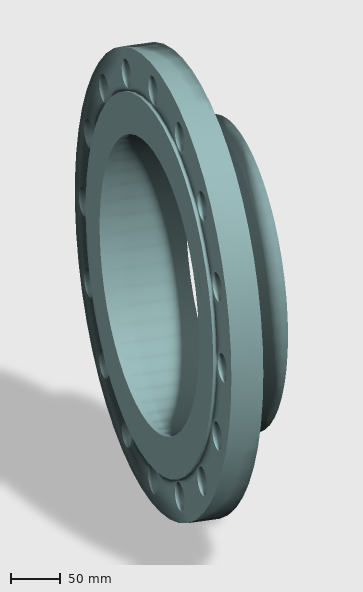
import cadquery as cq

flange_diameter = 485.0
flange_thickness = 38.0
raised_face_diameter = 395.0
raised_face_height = 4.0
overall_length = 92.0

bore_diameter = 307.9
pipe_diameter = 323.9
pipe_end_length = 18.0
hub_base_diameter = 352.0
hub_root_radius = 12.0

bolt_circle_diameter = 430.0
bolt_hole_diameter = 30.0
bolt_hole_count = 16


def flange_body():
    """Revolve the half section (radius along X, length along Y) about the Y axis."""
    bore_radius = bore_diameter / 2
    raised_face_radius = raised_face_diameter / 2
    flange_radius = flange_diameter / 2
    hub_base_radius = hub_base_diameter / 2
    pipe_radius = pipe_diameter / 2
    section = (
        cq.Workplane("XY")
        .moveTo(bore_radius, 0)
        .lineTo(raised_face_radius, 0)
        .lineTo(raised_face_radius, raised_face_height)
        .lineTo(flange_radius, raised_face_height)
        .lineTo(flange_radius, flange_thickness)
        .lineTo(hub_base_radius, flange_thickness)
        .lineTo(pipe_radius, overall_length - pipe_end_length)
        .lineTo(pipe_radius, overall_length)
        .lineTo(bore_radius, overall_length)
        .close()
    )
    return section.revolve(360, (0, 0, 0), (0, 1, 0))


def round_hub_root(body):
    """Fillet the inside corner where the hub cone meets the flange back."""
    hub_root = cq.selectors.RadiusNthSelector(0)
    back_face = cq.selectors.NearestToPointSelector((bolt_circle_diameter / 2, flange_thickness, 0))
    return body.faces("|Y").faces(back_face).edges(hub_root).fillet(hub_root_radius)


def bolt_holes():
    """Cylinders on the bolt circle, long enough to pass through the flange."""
    return (
        cq.Workplane("XZ")
        .polarArray(bolt_circle_diameter / 2, 0, 360, bolt_hole_count)
        .circle(bolt_hole_diameter / 2)
        .extrude(-flange_thickness)
    )


result = round_hub_root(flange_body()).cut(bolt_holes())